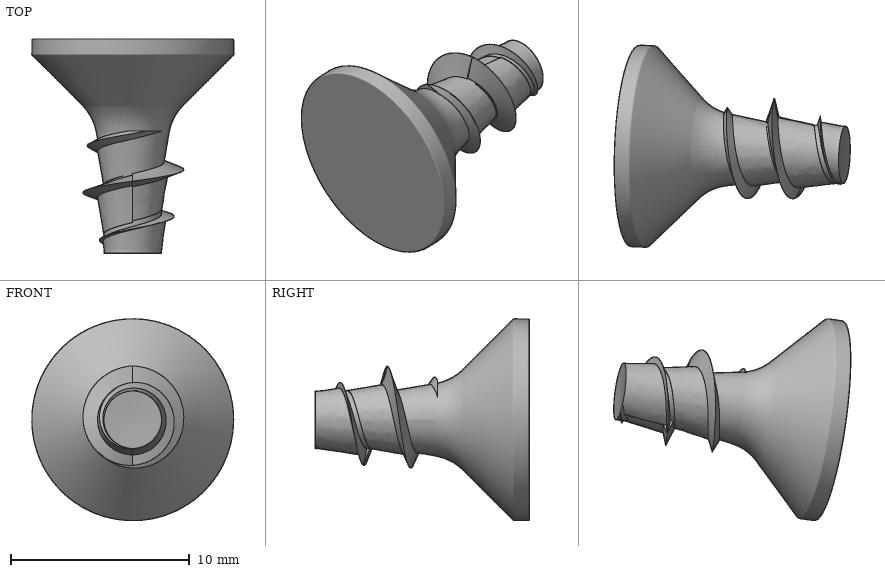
import cadquery as cq
import math

length = 12.0

head_radius = 5.65
rim_height = 0.89
rim_fillet = 0.1
cone_end_radius = 2.76
rim_bottom = length - rim_height
cone_end_height = rim_bottom - (head_radius - cone_end_radius)

dimple_radius = 1.49
dimple_depth = 0.07

neck_radius = 2.04
neck_height = 6.78
neck_bulge_radius = 2.25
neck_bulge_height = 7.46
root_radius = 1.61
root_height = 4.2

pitch = 2.66
thread_start_height = 0.05
thread_end_height = 6.86
thread_start_angle = 90.0
crest_tip_radius = 1.62
crest_max_radius = 3.01
crest_head_radius = 2.23
ramp_top_radius = 1.97
ramp_low_radius = 1.63
ramp_drop = 0.4
flanks_tip = (0.18, 0.05)
flanks_first = (0.35, 0.24)
flanks_max = (0.43, 0.31)
flanks_head = (0.3, 0.2)
ramp_gap = 0.01
hidden_radius = 0.96
first_turns = 1.0
rise_turns = 0.5
fade_turns = 1.25


def make_body():
    """Head, neck and core as one revolved solid."""
    profile = (
        cq.Workplane("XZ")
        .moveTo(0, 0)
        .lineTo(root_radius, 0)
        .lineTo(root_radius, root_height)
        .lineTo(neck_radius, neck_height)
        .threePointArc((neck_bulge_radius, neck_bulge_height), (cone_end_radius, cone_end_height))
        .lineTo(head_radius, rim_bottom)
        .lineTo(head_radius, length)
        .lineTo(0, length)
        .close()
    )
    body = profile.revolve(360, (0, 0, 0), (0, 1, 0))
    rim_edges = cq.selectors.RadiusNthSelector(-1)
    return body.edges(rim_edges).fillet(rim_fillet)


def thread_profile(crest_radius, flanks, ramp_shift=0.0):
    """Thread cross-section as (radius, height above the crest) corners."""
    upper_flank_width, lower_flank_width = flanks
    ramp_low = upper_flank_width - pitch + ramp_gap
    low_radius = ramp_low_radius - ramp_shift
    return [
        (crest_radius, 0),
        (low_radius, upper_flank_width),
        (hidden_radius, upper_flank_width),
        (hidden_radius, ramp_low),
        (low_radius, ramp_low),
        (ramp_top_radius - ramp_shift, -lower_flank_width),
    ]


def conical_helix(start_radius, end_radius, start_height, turns):
    rise = turns * pitch
    half_angle = math.atan2(end_radius - start_radius, rise)
    slant = 1 / math.cos(half_angle)
    cone_angle = math.degrees(half_angle) if half_angle else 360.0
    helix = cq.Wire.makeHelix(
        pitch * slant,
        rise * slant,
        start_radius,
        cq.Vector(0, 0, start_height),
        cq.Vector(0, 0, 1),
        cone_angle,
    )
    return helix.Edges()[0]


def thread_section(start_profile, end_profile, turns_before, turns):
    """Solid thread whose cross-section changes evenly from start to end."""
    base_height = thread_start_height + turns_before * pitch
    edges = [
        conical_helix(start[0], end[0], base_height + start[1], turns)
        for start, end in zip(start_profile, end_profile)
    ]
    next_edges = edges[1:] + edges[:1]
    faces = [cq.Face.makeRuledSurface(a, b) for a, b in zip(edges, next_edges)]
    for corners in ([e.startPoint() for e in edges], [e.endPoint() for e in edges]):
        faces.append(cq.Face.makeFromWires(cq.Wire.makePolygon(corners, close=True)))
    section = cq.Solid.makeSolid(cq.Shell.makeShell(faces))
    start_angle = thread_start_angle + 360 * turns_before
    return section.rotate(cq.Vector(0, 0, 0), cq.Vector(0, 0, 1), start_angle)


growing_turns = first_turns + rise_turns
crest_first_radius = crest_tip_radius + (crest_max_radius - crest_tip_radius) * first_turns / growing_turns
tip_profile = thread_profile(crest_tip_radius, flanks_tip, ramp_drop)
first_profile = thread_profile(crest_first_radius, flanks_first)
max_profile = thread_profile(crest_max_radius, flanks_max)
head_profile = thread_profile(crest_head_radius, flanks_head)

sections = [
    thread_section(tip_profile, first_profile, 0, first_turns),
    thread_section(first_profile, max_profile, first_turns, rise_turns),
    thread_section(max_profile, head_profile, growing_turns, fade_turns),
]

thread_room = cq.Workplane("XY").circle(head_radius).extrude(thread_end_height)

screw = make_body()
for section in sections:
    screw = screw.union(thread_room.intersect(cq.Workplane(section)))

dimple = cq.Workplane(cq.Solid.makeCone(dimple_radius, 0, dimple_depth))
screw = screw.cut(dimple)

result = screw.rotate((0, 0, 0), (1, 0, 0), -90)